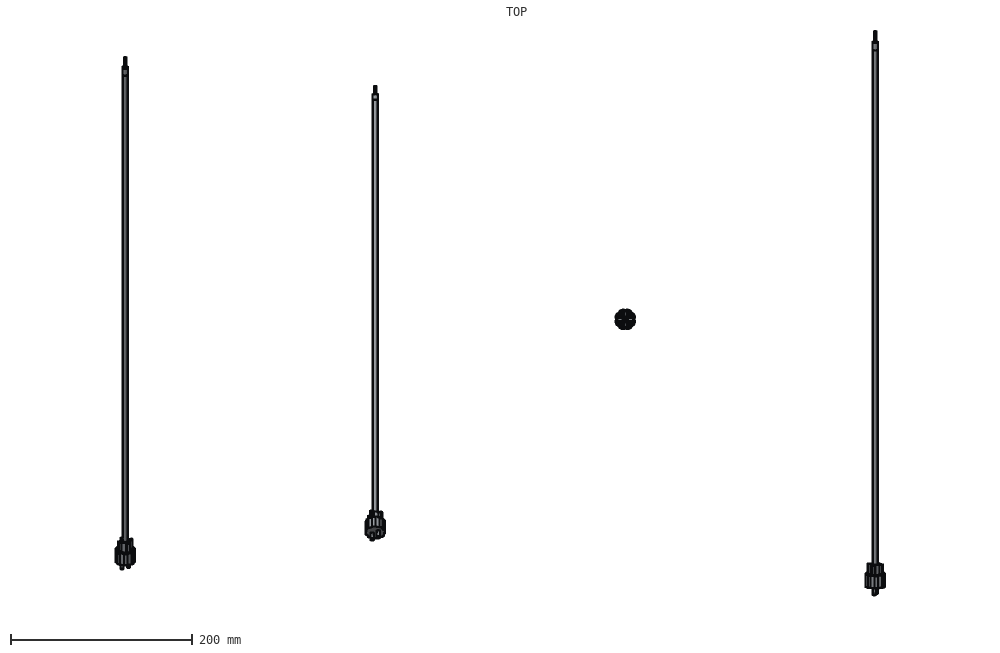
import cadquery as cq
import math

total_length = 635.0
knob_diameter = 22.0

pin_diameter = 3.75
pin_tip_diameter = 2.0
pin_offset = 4.0
pin_length = 9.0
pin_tip_height = 1.0

knob_height = 14.5
top_chamfer = 1.0
top_recess_diameter = 15.5
top_recess_depth = 2.0
flute_count = 8
flute_radius = 5.0
knob_width = 21.5

collar_height = 10.5
hub_diameter = 11.0
rib_span = 16.92
rib_thickness = 3.2

rod_diameter = 6.0
ferrule_diameter = 6.6
ferrule_length = 9.5
tip_diameter = 2.5
tip_length = 11.2
taper_height = 1.2

knob_bottom = pin_length
knob_top = knob_bottom + knob_height
collar_bottom = knob_top - top_recess_depth
collar_top = knob_top + collar_height
tip_bottom = total_length - tip_length
rod_top = tip_bottom - ferrule_length


def cylinder(diameter, bottom, top):
    """Upright cylinder on the Z axis between two levels."""
    return cq.Workplane("XY").workplane(offset=bottom).circle(diameter / 2).extrude(top - bottom)


def make_knob():
    """Round knob with concave flutes along its full height, a chamfered top edge and a shallow top recess."""
    knob_radius = knob_diameter / 2
    half_angle = math.acos(knob_width / knob_diameter)
    half_width = knob_radius * math.sin(half_angle)
    flute_center = knob_radius * math.cos(half_angle) + math.sqrt(flute_radius**2 - half_width**2)
    flutes = (
        cq.Workplane("XY")
        .workplane(offset=knob_bottom)
        .polarArray(flute_center, 0, 360, flute_count)
        .circle(flute_radius)
        .extrude(knob_height)
    )
    blank = cylinder(knob_diameter, knob_bottom, knob_top).faces(">Z").chamfer(top_chamfer)
    recess = cylinder(top_recess_diameter, collar_bottom, knob_top)
    return blank.cut(flutes).cut(recess)


def make_collar():
    """Cylindrical hub with four radial ribs, standing in the recess of the knob."""
    hub = cylinder(hub_diameter, collar_bottom, collar_top)
    rib_envelope = cylinder(rib_span, collar_bottom, collar_top)
    rib_pair = (
        cq.Workplane("XY")
        .workplane(offset=collar_bottom)
        .rect(rib_span, rib_thickness)
        .extrude(collar_top - collar_bottom)
        .intersect(rib_envelope)
    )
    crossing_pair = rib_pair.rotate((0, 0, 0), (0, 0, 1), 90)
    return hub.union(rib_pair).union(crossing_pair)


def make_rod():
    """Rod with a tapered ferrule and a thin tip."""
    rod = cylinder(rod_diameter, knob_top, rod_top)
    ferrule = cylinder(ferrule_diameter, rod_top, tip_bottom)
    ferrule = ferrule.faces(">Z").chamfer(taper_height, (ferrule_diameter - tip_diameter) / 2)
    tip = cylinder(tip_diameter, tip_bottom, total_length)
    return rod.union(ferrule).union(tip)


def make_pin(y):
    """Pin with a tapered lower tip."""
    profile = (
        cq.Workplane("XZ")
        .lineTo(pin_tip_diameter / 2, 0)
        .lineTo(pin_diameter / 2, pin_tip_height)
        .lineTo(pin_diameter / 2, pin_length)
        .lineTo(0, pin_length)
        .close()
    )
    return profile.revolve(360, (0, 0), (0, 1)).translate((0, y, 0))


result = make_knob().union(make_collar()).union(make_rod())
for side in (-1, 1):
    result = result.union(make_pin(side * pin_offset))